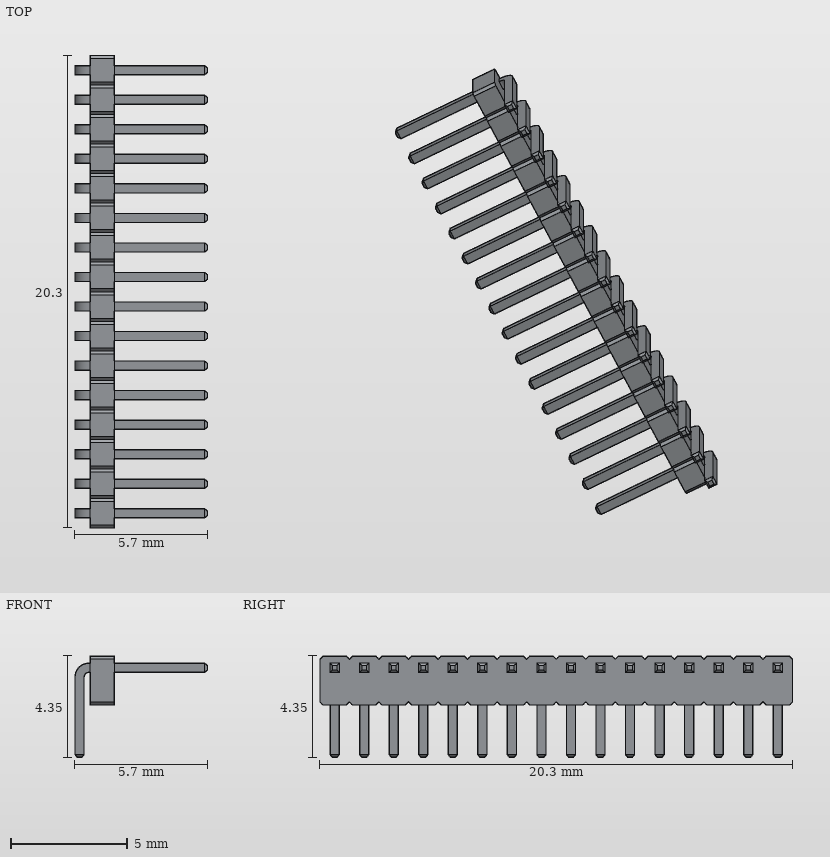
import cadquery as cq

pin_count = 16
pitch = 1.27

body_depth = 1.05
body_height = 2.1
body_chamfer = 0.13

pin_width = 0.4
pin_axis_below_top = 0.5
mating_length = 4.0
overall_height = 4.35
bend_inner_radius = 0.2
bend_straight_length = 0.05
tip_length = 0.12
tip_inset = 0.1

pin_axis_z = body_height - pin_axis_below_top
pin_end_x = body_depth + mating_length
tail_end_z = body_height - overall_height
bend_axis_radius = bend_inner_radius + pin_width / 2
bend_start_x = -bend_straight_length
tail_axis_x = bend_start_x - bend_axis_radius
bend_end_z = pin_axis_z - bend_axis_radius


def housing_segment(center_y):
    """One pitch of the housing, with its four lengthwise corners chamfered."""
    return (
        cq.Workplane("XY")
        .box(body_depth, pitch, body_height, centered=(False, True, False))
        .edges("|X")
        .chamfer(body_chamfer)
        .translate((0, center_y, 0))
    )


def tapered_tip(base_plane):
    """Truncated pyramid that closes one end of a pin."""
    tip_width = pin_width - 2 * tip_inset
    return (
        cq.Workplane(base_plane)
        .rect(pin_width, pin_width)
        .workplane(offset=tip_length)
        .rect(tip_width, tip_width)
        .loft(ruled=True)
    )


def bent_pin(center_y):
    """Square wire swept around the bend, tapered at both ends."""
    mating_tip_base = cq.Vector(pin_end_x - tip_length, center_y, pin_axis_z)
    tail_tip_base = cq.Vector(tail_axis_x, center_y, tail_end_z + tip_length)
    mating_plane = cq.Plane(mating_tip_base, xDir=(0, 1, 0), normal=(1, 0, 0))
    tail_plane = cq.Plane(tail_tip_base, xDir=(1, 0, 0), normal=(0, 0, -1))

    path = (
        cq.Workplane("XZ", origin=(0, center_y, 0))
        .moveTo(mating_tip_base.x, pin_axis_z)
        .lineTo(bend_start_x, pin_axis_z)
        .tangentArcPoint((tail_axis_x, bend_end_z), relative=False)
        .lineTo(tail_axis_x, tail_tip_base.z)
    )
    wire = cq.Workplane(mating_plane).rect(pin_width, pin_width).sweep(path)
    return wire.union(tapered_tip(mating_plane)).union(tapered_tip(tail_plane))


row_start_y = -(pin_count - 1) * pitch / 2
pin_positions = [row_start_y + index * pitch for index in range(pin_count)]

result = housing_segment(pin_positions[0])
for position in pin_positions[1:]:
    result = result.union(housing_segment(position))
for position in pin_positions:
    result = result.union(bent_pin(position))